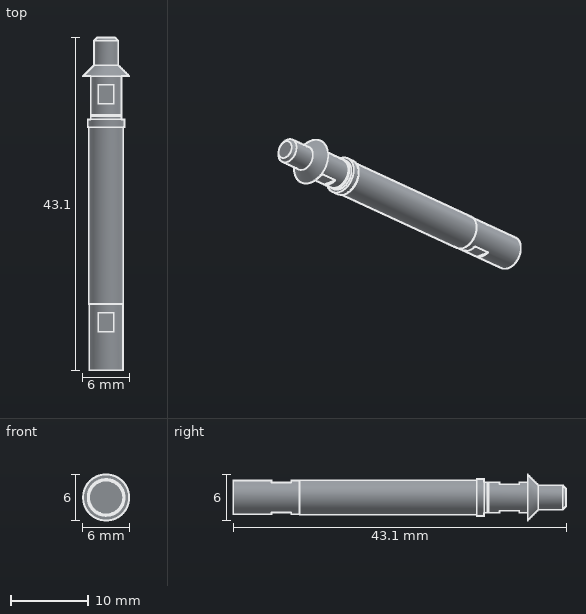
import cadquery as cq
import math

TOTAL_LENGTH = 43.1
CONE_START = 3.6
CONE_END = 5.0
PLUNGER_END = 10.0
COLLAR_START = 10.6
COLLAR_LENGTH = 1.0
SLEEVE_END = 34.55

TIP_DIAMETER = 3.2
CONE_DIAMETER = 6.0
PLUNGER_DIAMETER = 4.0
COLLAR_DIAMETER = 4.8
SLEEVE_DIAMETER = 4.5
TAIL_DIAMETER = 4.4

TIP_CHAMFER = 0.45
SLEEVE_TAPER_LENGTH = 0.1
GROOVE_WIDTH = 0.2
GROOVE_DEPTH = 0.1

FLAT_WIDTH = 2.0
FLAT_LENGTH = 2.5
PLUNGER_FLAT_START = 6.1
TAIL_FLAT_START = 35.6


def turned_body():
    """Revolve the stepped half profile about Y; the tail end lies at Y = 0."""
    tip_radius = TIP_DIAMETER / 2
    plunger_radius = PLUNGER_DIAMETER / 2
    collar_radius = COLLAR_DIAMETER / 2
    sleeve_radius = SLEEVE_DIAMETER / 2
    tail_radius = TAIL_DIAMETER / 2
    groove_radius = plunger_radius - GROOVE_DEPTH
    groove_end = PLUNGER_END + GROOVE_WIDTH
    collar_end = COLLAR_START + COLLAR_LENGTH

    profile = [
        (0, 0),
        (tip_radius - TIP_CHAMFER, 0),
        (tip_radius, TIP_CHAMFER),
        (tip_radius, CONE_START),
        (CONE_DIAMETER / 2, CONE_END),
        (plunger_radius, CONE_END),
        (plunger_radius, PLUNGER_END),
        (groove_radius, (PLUNGER_END + groove_end) / 2),
        (plunger_radius, groove_end),
        (plunger_radius, COLLAR_START),
        (collar_radius, COLLAR_START),
        (collar_radius, collar_end),
        (sleeve_radius, collar_end),
        (sleeve_radius, SLEEVE_END - SLEEVE_TAPER_LENGTH),
        (tail_radius, SLEEVE_END),
        (tail_radius, TOTAL_LENGTH),
        (0, TOTAL_LENGTH),
    ]
    outline = [(radius, TOTAL_LENGTH - back) for radius, back in profile]
    return cq.Workplane("XY").polyline(outline).close().revolve(360, (0, 0, 0), (0, 1, 0))


def cut_flats(body, diameter, start):
    """Cut two opposite flats whose chord width on the shaft is FLAT_WIDTH."""
    flat_height = math.sqrt((diameter / 2) ** 2 - (FLAT_WIDTH / 2) ** 2)
    center_y = TOTAL_LENGTH - start - FLAT_LENGTH / 2
    for side in (1, -1):
        cutter = cq.Workplane("XY").box(diameter, FLAT_LENGTH, diameter)
        body = body.cut(cutter.translate((0, center_y, side * (flat_height + diameter / 2))))
    return body


result = turned_body()
result = cut_flats(result, PLUNGER_DIAMETER, PLUNGER_FLAT_START)
result = cut_flats(result, TAIL_DIAMETER, TAIL_FLAT_START)